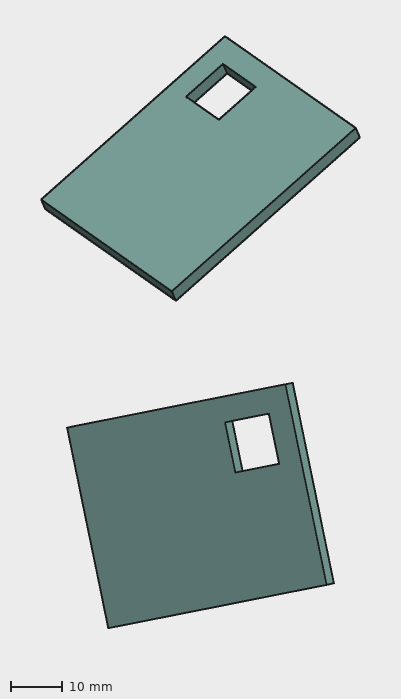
import cadquery as cq

width = 40.0
length = 50.0
thickness = 3.0

window_side = width / 4
window_margin = window_side / 2

turn_x = 32.2
turn_y = 13.2
turn_z = -7.5


def make_plate():
    return cq.Workplane("XY").box(width, length, thickness)


def cut_window(plate):
    center_x = -width / 2 + window_margin + window_side / 2
    center_y = length / 2 - window_margin - window_side / 2
    cutter = (
        cq.Workplane("XY")
        .center(center_x, center_y)
        .rect(window_side, window_side)
        .extrude(thickness, both=True)
    )
    return plate.cut(cutter)


def tilt(plate):
    origin = (0, 0, 0)
    return (
        plate.rotate(origin, (1, 0, 0), turn_x)
        .rotate(origin, (0, 1, 0), turn_y)
        .rotate(origin, (0, 0, 1), turn_z)
    )


result = tilt(cut_window(make_plate()))